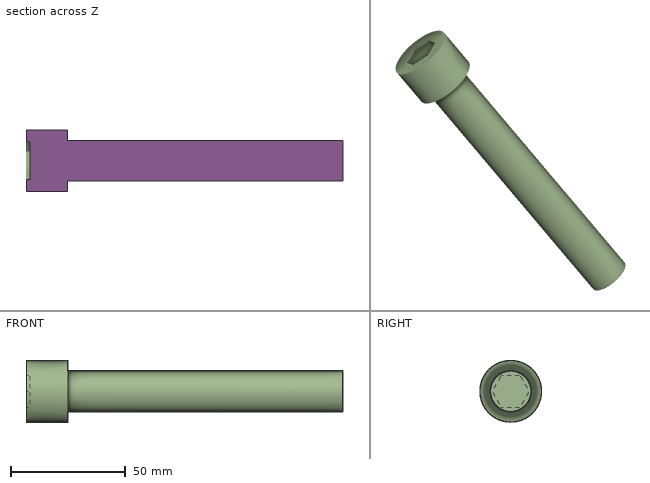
import cadquery as cq
import math

shank_diameter = 18.0
shank_length = 120.0
head_diameter = 1.5 * shank_diameter
head_height = shank_diameter
socket_across_flats = 14.0
socket_depth = 1.5
tip_chamfer = 0.2


def make_body():
    """Cylindrical head with the shank on its +X face, chamfered at the tip."""
    head = cq.Workplane("YZ").circle(head_diameter / 2).extrude(head_height)
    shank = (
        cq.Workplane("YZ")
        .workplane(offset=head_height)
        .circle(shank_diameter / 2)
        .extrude(shank_length)
        .faces(">X")
        .chamfer(tip_chamfer)
    )
    return head.union(shank)


def make_socket():
    """Shallow hexagonal recess in the head, with two corners pointing along Y."""
    across_corners = socket_across_flats / math.cos(math.pi / 6)
    return cq.Workplane("YZ").polygon(6, across_corners).extrude(socket_depth)


result = make_body().cut(make_socket())